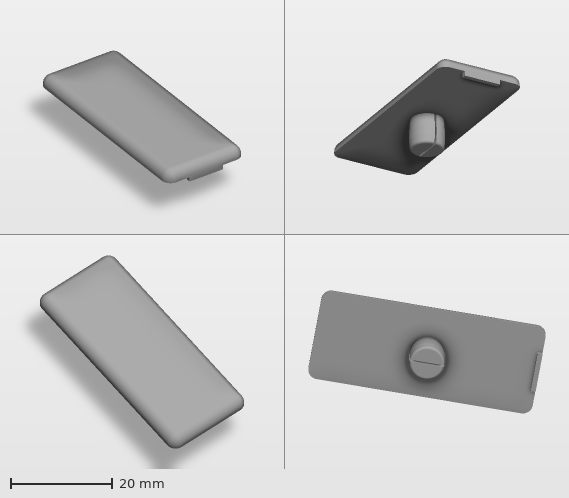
import cadquery as cq

PLATE_LENGTH = 45.0
PLATE_WIDTH = 18.5
PLATE_THICKNESS = 2.5
EDGE_RADIUS = 2.0

PLUG_LENGTH = 6.49
PLUG_NECK_RADIUS = 3.4
NECK_HEIGHT = 0.1
PLUG_TIP_RADIUS = PLUG_NECK_RADIUS
PLUG_BAND_RADIUS = 3.6
BAND_TOP_DEPTH = 3.0
BAND_BOTTOM_DEPTH = 4.5
TIP_ROUND = 0.5
SLOT_WIDTH = 0.4

TAB_LENGTH = 1.0
TAB_WIDTH = 8.0
TAB_HEIGHT = 1.0


def make_plate():
    """Plate with rounded corners and a rounded top rim above a short straight skirt."""
    plate = cq.Workplane("XY").box(
        PLATE_LENGTH, PLATE_WIDTH, PLATE_THICKNESS, centered=(True, True, False)
    )
    return plate.edges("|Z or >Z").fillet(EDGE_RADIUS)


def make_plug():
    """Barrel-shaped plug with a short straight neck and a wider band, split into two prongs."""
    plug = (
        cq.Workplane("XZ")
        .lineTo(PLUG_NECK_RADIUS, 0)
        .lineTo(PLUG_NECK_RADIUS, -NECK_HEIGHT)
        .lineTo(PLUG_BAND_RADIUS, -BAND_TOP_DEPTH)
        .lineTo(PLUG_BAND_RADIUS, -BAND_BOTTOM_DEPTH)
        .lineTo(PLUG_TIP_RADIUS, -PLUG_LENGTH)
        .lineTo(0, -PLUG_LENGTH)
        .close()
        .revolve(360, (0, 0, 0), (0, 1, 0))
        .faces("<Z")
        .edges()
        .fillet(TIP_ROUND)
    )
    slot = cq.Workplane("XY").box(
        2 * PLUG_BAND_RADIUS, SLOT_WIDTH, PLUG_LENGTH, centered=(True, True, False)
    )
    return plug.cut(slot.translate((0, 0, -PLUG_LENGTH)))


def make_tab():
    """Rectangular tab, flush with the +X side of the plate."""
    tab = cq.Workplane("XY").box(TAB_LENGTH, TAB_WIDTH, TAB_HEIGHT, centered=(True, True, False))
    return tab.translate(((PLATE_LENGTH - TAB_LENGTH) / 2, 0, -TAB_HEIGHT))


result = make_plate().union(make_plug()).union(make_tab())